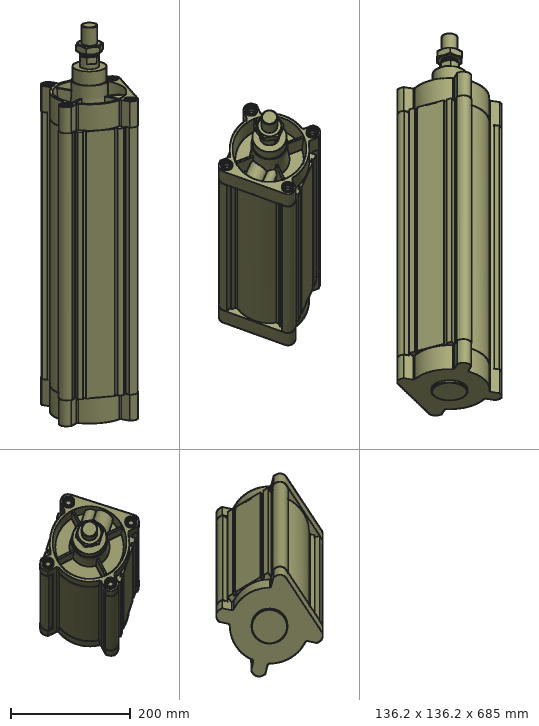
import cadquery as cq
import math


total_height = 685.0
rear_collar_height = 5.0
rear_collar_chamfer = 1.0
cap_height = 46.0
head_top = 567.0
collar_step_z = 588.0
collar_top = 612.5
shoulder_z = 632.0
flats_bottom = 620.5
nut_bottom = 639.0
nut_height = 14.0
barrel_bottom = rear_collar_height + cap_height
barrel_top = head_top - cap_height

shell_radius = 66.5
corner_overhang = 1.6
cap_half = shell_radius + corner_overhang
corner_radius = 12.0
corner_flat_end = 51.0
ledge_offset = 56.0
ledge_inner_end = 30.0

barrel_inset = 0.3
barrel_shell_radius = shell_radius - barrel_inset
barrel_half = cap_half - barrel_inset
barrel_flat_end = 49.0
vee_root = (46.5, 58.0)
vee_end = 44.0
pad_half_width = 40.0
slot_centre = 27.5
slot_width = 5.5
slot_depth = 4.0

collar_diameter = 60.0
collar_upper_diameter = 57.0
hub_base_radius = 33.5
cavity_diameter = 123.0
cavity_floor_radius = 57.0
cavity_floor = 529.0
rib_top = 564.0
rib_top_width = 3.5
rib_base_width = 9.5

boss_height = 542.5
port_boss_x = 8.0
port_boss_diameter = 31.5
cushion_boss_x = -16.5
cushion_boss_diameter = 18.0

screw_offset = 55.0
recess_diameter = 20.0
recess_floor_diameter = 18.0
recess_depth = 1.0
socket_mouth_diameter = 13.0
socket_diameter = 10.0
socket_taper_end = 2.0
socket_depth = 14.0

rod_diameter = 32.0
thread_diameter = 27.0
thread_chamfer = 1.0
neck_diameter = 25.0
neck_bottom = 633.5
neck_top = 636.0
flats_width = 27.0
nut_across_flats = 41.0
nut_face_diameter = 39.0
nut_chamfer_angle = 30


def disc(diameter, z_low, z_high):
    """Cylinder on the Z axis between two heights."""
    return cq.Workplane("XY").workplane(offset=z_low).circle(diameter / 2).extrude(z_high - z_low)


def cone(low_radius, high_radius, z_low, z_high):
    """Truncated cone on the Z axis between two heights."""
    profile = [(0, z_low), (low_radius, z_low), (high_radius, z_high), (0, z_high)]
    return cq.Workplane("XZ").polyline(profile).close().revolve(360, (0, 0), (0, 1))


def corner_section(half, flank, z_low):
    """Outline of one corner column at +X +Y; flank lists its points from the flat inwards."""
    arc_centre = half - corner_radius
    arc_middle = arc_centre + corner_radius * math.sqrt(0.5)
    outline = cq.Workplane("XY").workplane(offset=z_low).moveTo(0, 0)
    for x, y in reversed(flank):
        outline = outline.lineTo(x, y)
    outline = outline.lineTo(arc_centre, half)
    outline = outline.threePointArc((arc_middle, arc_middle), (half, arc_centre))
    for x, y in flank:
        outline = outline.lineTo(y, x)
    return outline.close()


def shell_with_corners(radius, half, flank, z_low, z_high):
    """Round shell with the same column on all four corners."""
    block = disc(2 * radius, z_low, z_high)
    column = corner_section(half, flank, z_low).extrude(z_high - z_low)
    for quarter in range(4):
        block = block.union(column.rotate((0, 0, 0), (0, 0, 1), 90 * quarter))
    return block


def on_corner_face(x):
    """Point of the 45 degree corner face at the given distance along the side."""
    return x, x + cap_half - corner_flat_end


def corner_ledge():
    """Both ends of the narrow ledge at the foot of the 45 degree corner face."""
    ledge_outer_end = ledge_offset - cap_half + corner_flat_end
    return [(ledge_outer_end, ledge_offset), (ledge_inner_end, ledge_offset)]


def make_cap(z_low):
    """End cap: round shell, four corners and a flat +Y side between two of them."""
    flank = [on_corner_face(corner_flat_end), *corner_ledge()]
    cap = shell_with_corners(shell_radius, cap_half, flank, z_low, z_low + cap_height)
    port_side = (
        cq.Workplane("XY").workplane(offset=z_low)
        .center(0, cap_half / 2)
        .rect(2 * (cap_half - corner_radius), cap_half)
        .extrude(cap_height)
    )
    return cap.union(port_side)


def make_barrel():
    """Profiled tube: round front and back, a slotted flat pad on each X side."""
    length = barrel_top - barrel_bottom
    flank = [(barrel_flat_end, barrel_half), vee_root, on_corner_face(vee_end), *corner_ledge()]
    barrel = shell_with_corners(barrel_shell_radius, barrel_half, flank, barrel_bottom, barrel_top)
    base = cq.Workplane("XY").workplane(offset=barrel_bottom)
    barrel = barrel.union(base.rect(2 * barrel_half, 2 * pad_half_width).extrude(length))
    slot_places = [(sx * barrel_half, sy * slot_centre) for sx in (-1, 1) for sy in (-1, 1)]
    return barrel.cut(base.pushPoints(slot_places).rect(2 * slot_depth, slot_width).extrude(length))


def make_rib(angle):
    """Tapered rib from the axis to the shell wall."""
    foot = rib_base_width / 2
    crest = rib_top_width / 2
    section = [(-foot, cavity_floor), (foot, cavity_floor), (crest, rib_top), (-crest, rib_top)]
    rib = cq.Workplane("YZ").polyline(section).close().extrude(cavity_diameter / 2)
    return rib.rotate((0, 0, 0), (0, 0, 1), angle)


def make_boss(x, diameter):
    """Round boss along Y, from the hub to the +Y wall."""
    return cq.Workplane("XZ", origin=(x, 0, boss_height)).circle(diameter / 2).extrude(-cavity_diameter / 2)


def make_cavity():
    """Ring shaped hollow of the head, less its hub, ribs and bosses."""
    cavity = cone(cavity_floor_radius, cavity_diameter / 2, cavity_floor, head_top)
    cavity = cavity.cut(disc(collar_diameter, cavity_floor, head_top))
    cavity = cavity.cut(cone(hub_base_radius, collar_diameter / 2, cavity_floor, rib_top))
    for angle in (45, 135, 225, 315):
        cavity = cavity.cut(make_rib(angle))
    cavity = cavity.cut(make_boss(port_boss_x, port_boss_diameter))
    return cavity.cut(make_boss(cushion_boss_x, cushion_boss_diameter))


def make_screw_socket():
    """Stepped socket on the Z axis, open at the head face."""
    profile = [
        (0, head_top),
        (recess_diameter / 2, head_top),
        (recess_floor_diameter / 2, head_top - recess_depth),
        (socket_mouth_diameter / 2, head_top - recess_depth),
        (socket_diameter / 2, head_top - socket_taper_end),
        (socket_diameter / 2, head_top - socket_depth),
        (0, head_top - socket_depth),
    ]
    return cq.Workplane("XZ").polyline(profile).close().revolve(360, (0, 0), (0, 1))


def make_housing():
    """Both caps, the barrel and the collars, bored for the rod."""
    housing = make_barrel().union(make_cap(rear_collar_height)).union(make_cap(barrel_top))
    rear_collar = disc(collar_diameter, 0, barrel_bottom).faces("<Z").chamfer(rear_collar_chamfer)
    housing = housing.union(rear_collar)
    housing = housing.cut(make_cavity())
    housing = housing.union(disc(collar_diameter, barrel_top, collar_step_z))
    housing = housing.union(disc(collar_upper_diameter, collar_step_z, collar_top))
    socket = make_screw_socket()
    for x in (-screw_offset, screw_offset):
        for y in (-screw_offset, screw_offset):
            housing = housing.cut(socket.translate((x, y, 0)))
    return housing.cut(disc(rod_diameter, barrel_top, collar_top))


def make_neck_groove():
    """Ring groove with sloped flanks at the foot of the thread."""
    thread_radius = thread_diameter / 2
    flank_width = (thread_diameter - neck_diameter) / 2
    profile = [
        (thread_radius, neck_bottom - flank_width),
        (neck_diameter / 2, neck_bottom),
        (neck_diameter / 2, neck_top),
        (thread_radius, neck_top + flank_width),
    ]
    return cq.Workplane("XZ").polyline(profile).close().revolve(360, (0, 0), (0, 1))


def make_rod():
    """Rod with two wrench flats, a relief neck and a chamfered thread end."""
    rod = disc(rod_diameter, barrel_top, shoulder_z)
    flat_depth = (rod_diameter - flats_width) / 2
    flat_x = (flats_width + flat_depth) / 2
    flats = (
        cq.Workplane("XY").workplane(offset=flats_bottom)
        .pushPoints([(-flat_x, 0), (flat_x, 0)])
        .rect(flat_depth, rod_diameter)
        .extrude(shoulder_z - flats_bottom)
    )
    rod = rod.cut(flats)
    thread = disc(thread_diameter, shoulder_z, total_height).faces(">Z").chamfer(thread_chamfer)
    return rod.union(thread).cut(make_neck_groove())


def make_nut():
    """Hexagon nut with corners along Y, chamfered on both faces."""
    across_corners = nut_across_flats / math.cos(math.radians(30))
    base = cq.Workplane("XY").workplane(offset=nut_bottom)
    nut = base.polygon(6, across_corners).extrude(nut_height).rotate((0, 0, 0), (0, 0, 1), 90)
    corner_distance = across_corners / 2
    face_radius = nut_face_diameter / 2
    chamfer_height = (corner_distance - face_radius) * math.tan(math.radians(nut_chamfer_angle))
    nut_top = nut_bottom + nut_height
    lower_cone = cone(face_radius, corner_distance, nut_bottom, nut_bottom + chamfer_height)
    upper_cone = cone(corner_distance, face_radius, nut_top - chamfer_height, nut_top)
    middle = disc(across_corners, nut_bottom + chamfer_height, nut_top - chamfer_height)
    envelope = middle.union(lower_cone).union(upper_cone)
    return nut.intersect(envelope).cut(disc(thread_diameter, nut_bottom, nut_top))


housing = make_housing()
rod = make_rod()
nut = make_nut()

result = cq.Compound.makeCompound([housing.val(), rod.val(), nut.val()])